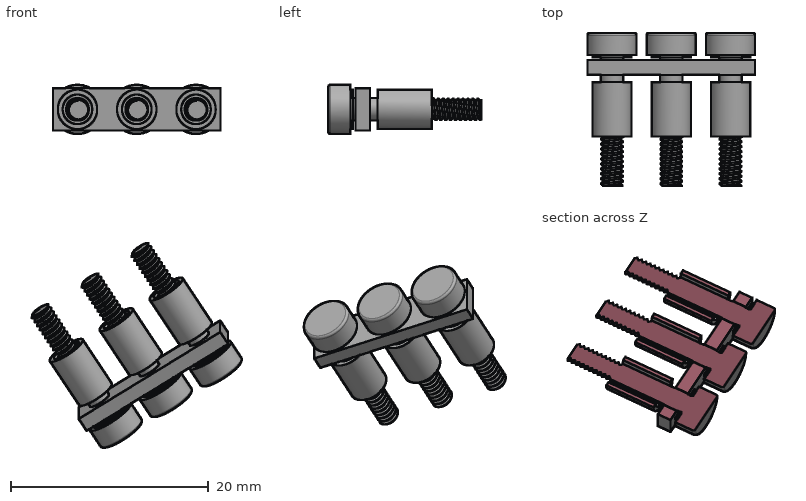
import cadquery as cq
import math

SCREW_COUNT = 3
SCREW_SPACING = 6.0

HEAD_DIAMETER = 5.0
HEAD_LENGTH = 2.25
HEAD_EDGE_RADIUS = 0.25
SHANK_DIAMETER = 2.3
SCREW_LENGTH = 15.5

THREAD_PITCH = 0.5
THREAD_LENGTH = 5.0
THREAD_LEAD_IN = 0.1
THREAD_DIAMETER = 2.2
CREST_FLAT = 0.02
FLANK_ANGLE = 45.0
THREAD_CUTTER_RADIUS = 1.5

WASHER_DIAMETER = 4.0
WASHER_THICKNESS = 0.25

BAR_LENGTH = (SCREW_COUNT - 1) * SCREW_SPACING + HEAD_DIAMETER
BAR_THICKNESS = 1.5
BAR_HEIGHT = 4.3
WASHER_TO_BAR = 0.25

SLEEVE_DIAMETER = 4.0
SLEEVE_BORE = 3.0
SLEEVE_LENGTH = 5.5

BAR_START = HEAD_LENGTH + WASHER_THICKNESS + WASHER_TO_BAR
THREAD_START = SCREW_LENGTH - THREAD_LENGTH
GROOVE_START = THREAD_START - THREAD_LEAD_IN
SLEEVE_START = THREAD_START - SLEEVE_LENGTH

SCREW_POSITIONS = [(i - (SCREW_COUNT - 1) / 2) * SCREW_SPACING for i in range(SCREW_COUNT)]


def rod(diameter, start, length):
    """Cylinder on the local Z axis, beginning at the given station."""
    return cq.Workplane("XY").workplane(offset=start).circle(diameter / 2).extrude(length)


def tube(diameter, bore, start, length):
    """Hollow cylinder on the local Z axis, beginning at the given station."""
    return rod(diameter, start, length).cut(rod(bore, start, length))


def place(body, x):
    """Turn a body from the local Z axis to point along -Y, and move it to x."""
    return body.rotate((0, 0, 0), (1, 0, 0), 90).translate((x, 0, 0))


def thread_groove():
    """Cutter for the V-groove, swept along a helix that runs out past the tip.

    The quarter turn puts the start of the groove on the +Z side of the finished screw.
    """
    crest_radius = THREAD_DIAMETER / 2
    half_width = (THREAD_PITCH - CREST_FLAT) / 2
    root_radius = crest_radius - half_width / math.tan(math.radians(FLANK_ANGLE))

    profile = (
        cq.Workplane("XZ")
        .moveTo(root_radius, 0)
        .lineTo(crest_radius, half_width)
        .lineTo(THREAD_CUTTER_RADIUS, half_width)
        .lineTo(THREAD_CUTTER_RADIUS, -half_width)
        .lineTo(crest_radius, -half_width)
        .close()
    )
    helix = cq.Wire.makeHelix(THREAD_PITCH, THREAD_LENGTH + THREAD_PITCH, crest_radius)
    groove = profile.sweep(cq.Workplane(helix), isFrenet=True)
    return groove.rotate((0, 0, 0), (0, 0, 1), 90).translate((0, 0, GROOVE_START))


def make_screw():
    """Cylinder-head screw; the shank narrows to the thread diameter at the first crest."""
    shank_end = GROOVE_START + THREAD_PITCH / 2
    head = rod(HEAD_DIAMETER, 0, HEAD_LENGTH).faces("<Z").edges().fillet(HEAD_EDGE_RADIUS)
    shank = rod(SHANK_DIAMETER, HEAD_LENGTH, shank_end - HEAD_LENGTH)
    threaded_end = rod(THREAD_DIAMETER, shank_end, SCREW_LENGTH - shank_end)
    return head.union(shank).union(threaded_end).cut(thread_groove())


def make_washer():
    return tube(WASHER_DIAMETER, SHANK_DIAMETER, HEAD_LENGTH, WASHER_THICKNESS)


def make_sleeve():
    return tube(SLEEVE_DIAMETER, SLEEVE_BORE, SLEEVE_START, SLEEVE_LENGTH)


def make_bar():
    """Flat bar with one hole per screw, each fitting the shank."""
    bar_centre = -(BAR_START + BAR_THICKNESS / 2)
    bar = cq.Workplane("XY").box(BAR_LENGTH, BAR_THICKNESS, BAR_HEIGHT).translate((0, bar_centre, 0))
    for x in SCREW_POSITIONS:
        bar = bar.cut(place(rod(SHANK_DIAMETER, BAR_START, BAR_THICKNESS), x))
    return bar


bar = make_bar()
screw = make_screw()
washer = make_washer()
sleeve = make_sleeve()

bodies = bar.solids().vals()
for x in SCREW_POSITIONS:
    for body in (screw, washer, sleeve):
        bodies.extend(place(body, x).solids().vals())

result = cq.Compound.makeCompound(bodies)